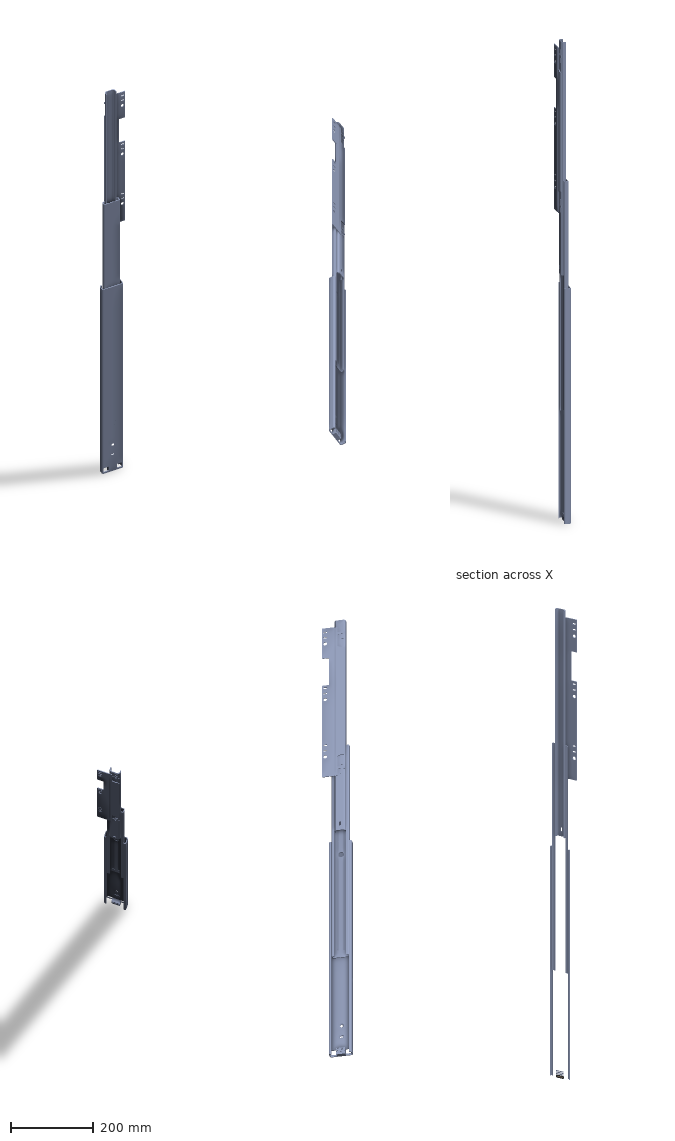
import cadquery as cq
import math

sheet = 2.0
total_length = 1225.0
total_depth = 22.6

outer_half = 28.5
outer_open_x = 5.5
outer_lip_half = 22.3
outer_bend = 3.5
outer_top = 600.5
outer_web_bottom = 18.0
outer_web_x = total_depth - sheet
outer_web_range = (outer_web_x, total_depth)
web_span = outer_half - outer_bend
screw_hole_z = 85.5
screw_hole_d = 7.0
screw_countersink_d = 13.0
screw_countersink_angle = 120.0
adjust_slot_z = 54.0
adjust_slot_size = (7.0, 3.5)
adjust_recess_size = (13.0, 9.0)
adjust_recess_depth = 1.0

stop_bar_height = 5.0
stop_tab_half = 11.0
stop_tab_front_x = 11.0
stop_nub_half = 3.0
stop_nub_top = 25.0
stop_groove_levels = (7.0, 11.0, 15.0)
stop_groove_width = 1.5
stop_groove_depth = 0.8

middle_half = 22.1
middle_open_x = 7.0
middle_back_x = 18.0
middle_lip_half = 15.0
middle_bend = 3.0
middle_bottom = 277.0
middle_top = 872.0
web_groove_y = 7.2
web_groove_width = 5.0
web_groove_bottom = 297.0
web_groove_depth = 0.8
middle_hole_z = 568.0
middle_hole_d = 14.0

inner_half = 13.8
inner_web_half = 9.5
inner_front_x = 2.0
inner_shoulder_x = 6.0
inner_back_x = 13.0
inner_bottom = 630.0
inner_window_z = 648.0
inner_window_size = (5.0, 10.0)
front_step_height = 4.5
front_step_depth = 0.5

bracket_edge_y = 43.39
bracket_bottom = 784.0
bracket_top = 1205.0
bracket_strip_y = 5.5
bracket_cover_y = -13.5
bracket_cover_bottom = 843.0
bracket_cover_top = 1147.0
cover_dogleg = 4.0
bracket_bend_y = 11.0
bracket_bend_width = 4.0
bracket_bend_depth = 1.0
cover_lip_y = -8.0
cover_lip_setback = 1.0
notch_edge_y = 27.0
notch_bottom = 1043.0
notch_top = 1120.0
fixing_hole_levels = (1161.0, 1003.0, 841.0)
fixing_y = 36.0
fixing_hole_d = 9.0
fixing_slot_size = (9.0, 3.5)
fixing_slot_offsets = (17.0, 32.0)

latch_levels = (1188.0, 806.0)
latch_thickness = 1.0
latch_half_height = 16.0
latch_spine = (-9.5, -6.5)
latch_prong_y = -1.5
latch_prong_height = 7.0
latch_bar = (-13.5, 5.0)
latch_bar_height = 6.0


def block(x_range, y_range, z_range):
    """Box between the given limits on each axis."""
    size = [high - low for low, high in (x_range, y_range, z_range)]
    corner = (x_range[0], y_range[0], z_range[0])
    return cq.Workplane("XY").box(*size, centered=False).translate(corner)


def drill(x, y, z, diameter):
    """Cylinder along X, passing through one sheet whose front lies at x."""
    hole = cq.Workplane("YZ").circle(diameter / 2).extrude(3 * sheet)
    return hole.translate((x - sheet, y, z))


def window(x, y, z, size):
    """Rectangular through-cutter centred at (y, z); size is its Y and Z extent."""
    width, height = size
    return block(
        (x - sheet, x + 2 * sheet),
        (y - width / 2, y + width / 2),
        (z - height / 2, z + height / 2),
    )


def lipped_channel(open_x, back_x, half, lip_half, bend, z_range):
    """C channel with its web at back_x and lips turned in at open_x."""
    shell = block((open_x, back_x), (-half, half), z_range).edges("|Z").fillet(bend)
    wall = half - sheet
    cavity = block((open_x + sheet, back_x - sheet), (-wall, wall), z_range)
    cavity = cavity.edges("|Z").fillet(bend - sheet)
    mouth = block((open_x, back_x - sheet), (-lip_half, lip_half), z_range)
    return shell.cut(cavity).cut(mouth)


def make_outer_rail():
    """Outer rail with its lower web cut-out, countersunk hole and recessed slot."""
    rail = lipped_channel(
        outer_open_x, total_depth, outer_half, outer_lip_half, outer_bend, (0, outer_top)
    )
    rail = rail.cut(block(outer_web_range, (-web_span, web_span), (0, outer_web_bottom)))
    rail = rail.cut(block(outer_web_range, (-stop_nub_half, stop_nub_half), (0, stop_nub_top)))
    rail = rail.cut(drill(outer_web_x, 0, screw_hole_z, screw_hole_d))
    cone_angle = math.radians(screw_countersink_angle / 2)
    cone_height = screw_countersink_d / 2 / math.tan(cone_angle)
    cone = cq.Solid.makeCone(
        screw_countersink_d / 2, 0, cone_height, cq.Vector(outer_web_x, 0, screw_hole_z), cq.Vector(1, 0, 0)
    )
    rail = rail.cut(cq.Workplane(obj=cone))
    rail = rail.cut(window(outer_web_x, 0, adjust_slot_z, adjust_slot_size))
    recess_x = outer_web_x - 2 * sheet + adjust_recess_depth
    return rail.cut(window(recess_x, 0, adjust_slot_z, adjust_recess_size))


def make_end_stop():
    """Bar in the web cut-out, with a grooved buffer block and a locating nub."""
    stop = block(outer_web_range, (-web_span, web_span), (0, stop_bar_height))
    tab_depth = (stop_tab_front_x, total_depth)
    stop = stop.union(block(tab_depth, (-stop_tab_half, stop_tab_half), (0, outer_web_bottom)))
    stop = stop.union(block(outer_web_range, (-stop_nub_half, stop_nub_half), (0, stop_nub_top)))
    groove_range = (stop_tab_front_x, stop_tab_front_x + stop_groove_depth)
    for level in stop_groove_levels:
        height = (level - stop_groove_width / 2, level + stop_groove_width / 2)
        stop = stop.cut(block(groove_range, (-stop_tab_half, stop_tab_half), height))
    return stop


def make_middle_rail():
    """Middle rail with two long grooves and one hole in its web."""
    rail = lipped_channel(
        middle_open_x, middle_back_x, middle_half, middle_lip_half, middle_bend, (middle_bottom, middle_top)
    )
    web_x = middle_back_x - sheet
    for side in (-1, 1):
        centre = side * web_groove_y
        rail = rail.cut(
            block(
                (web_x, web_x + web_groove_depth),
                (centre - web_groove_width / 2, centre + web_groove_width / 2),
                (web_groove_bottom, middle_top),
            )
        )
    return rail.cut(drill(web_x, 0, middle_hole_z, middle_hole_d))


def make_inner_rail():
    """Inner rail with sloped shoulders, a small window and a stepped top end."""
    shoulder_inside = inner_shoulder_x + sheet
    wall = inner_half - sheet
    web_back = inner_front_x + sheet
    upper_half = [
        (inner_front_x, inner_web_half),
        (inner_shoulder_x, inner_half),
        (inner_back_x, inner_half),
        (inner_back_x, wall),
        (shoulder_inside, wall),
        (web_back, inner_web_half - sheet),
    ]
    lower_half = [(x, -y) for x, y in reversed(upper_half)]
    profile = cq.Workplane("XY").polyline(upper_half + lower_half).close()
    rail = profile.extrude(total_length - inner_bottom).translate((0, 0, inner_bottom))
    rail = rail.cut(window(inner_front_x, 0, inner_window_z, inner_window_size))
    front_step = block(
        (inner_front_x, inner_front_x + front_step_depth),
        (-inner_web_half, inner_web_half),
        (total_length - front_step_height, total_length),
    )
    return rail.cut(front_step)


def make_bracket():
    """Strip beside the rail plus a cover over its front, whose ends each have a dogleg."""
    cover_middle_y = (bracket_strip_y + bracket_cover_y) / 2
    outline = [
        (bracket_edge_y, bracket_bottom),
        (bracket_strip_y, bracket_bottom),
        (bracket_strip_y, bracket_cover_bottom - cover_dogleg),
        (cover_middle_y, bracket_cover_bottom),
        (bracket_cover_y, bracket_cover_bottom),
        (bracket_cover_y, bracket_cover_top),
        (cover_middle_y, bracket_cover_top),
        (bracket_strip_y, bracket_cover_top + cover_dogleg),
        (bracket_strip_y, bracket_top),
        (bracket_edge_y, bracket_top),
        (bracket_edge_y, notch_top),
        (notch_edge_y, notch_top),
        (notch_edge_y, notch_bottom),
        (bracket_edge_y, notch_bottom),
    ]
    bracket = cq.Workplane("YZ").polyline(outline).close().extrude(inner_front_x)
    bend_range = (bracket_bend_y - bracket_bend_width / 2, bracket_bend_y + bracket_bend_width / 2)
    bracket = bracket.cut(block((0, bracket_bend_depth), bend_range, (bracket_bottom, bracket_top)))
    lip = block((0, cover_lip_setback), (bracket_cover_y, cover_lip_y), (bracket_bottom, bracket_top))
    bracket = bracket.cut(lip)
    for level in fixing_hole_levels:
        bracket = bracket.cut(drill(0, fixing_y, level, fixing_hole_d))
        for offset in fixing_slot_offsets:
            bracket = bracket.cut(window(0, fixing_y, level + offset, fixing_slot_size))
    return bracket


def make_latch(level):
    """E-shaped latch plate centred at the given height."""
    depth = (inner_front_x - latch_thickness, inner_front_x)
    bottom = level - latch_half_height
    top = level + latch_half_height
    prong = (latch_spine[0], latch_prong_y)
    latch = block(depth, latch_spine, (bottom, top))
    latch = latch.union(block(depth, prong, (bottom, bottom + latch_prong_height)))
    latch = latch.union(block(depth, prong, (top - latch_prong_height, top)))
    bar_range = (level - latch_bar_height / 2, level + latch_bar_height / 2)
    return latch.union(block(depth, latch_bar, bar_range))


outer_rail = make_outer_rail()
end_stop = make_end_stop()
middle_rail = make_middle_rail()
inner_rail = make_inner_rail()
bracket = make_bracket()
latches = [make_latch(level) for level in latch_levels]

result = cq.Compound.makeCompound(
    [
        outer_rail.val(),
        end_stop.val(),
        middle_rail.val(),
        inner_rail.val(),
        bracket.val(),
        *[latch.val() for latch in latches],
    ]
)